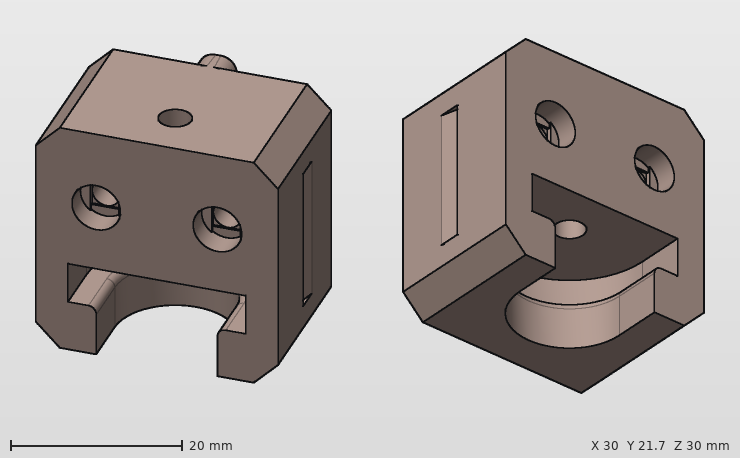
import cadquery as cq
import math

block_width = 30.0
block_height = 30.0
block_depth = 18.9
corner_chamfer = 3.0
bottom_z = -block_height / 2
top_z = block_height / 2

slot_axis_y = 6.5
head_width = 22.0
head_floor_z = -8.52
head_height = 5.2
neck_width = 15.0
neck_fillet = 1.0
guide_hole_diameter = 4.0

screw_spacing = 15.0
screw_z = 5.0
screw_diameter = 3.5
counterbore_diameter = 6.0
counterbore_depth = 3.0
step_depth = 0.3

recess_height = 18.0
recess_slope = 15.0
recess_front_y = 8.9
recess_length = 3.0
recess_depth = recess_length * math.tan(math.radians(recess_slope))

key_length = 2.8
key_width = 4.95
key_height = 20.0
key_draw_in = 0.15
key_corner_radius = 2.0


def make_block():
    block = cq.Workplane("XY").box(block_width, block_depth, block_height, centered=(True, False, True))
    return block.edges("|Y").chamfer(corner_chamfer)


def round_ended_channel(width, floor_z, height):
    """Channel along Y that starts at the front face and ends in a half circle."""
    plan = cq.Workplane("XY", origin=(0, 0, floor_z))
    straight = plan.rect(width, 2 * slot_axis_y).extrude(height)
    round_end = plan.center(0, slot_axis_y).circle(width / 2).extrude(height)
    return straight.union(round_end)


def cut_t_slot(body):
    neck = round_ended_channel(neck_width, bottom_z, head_floor_z - bottom_z)
    head = round_ended_channel(head_width, head_floor_z, head_height)
    margin = 0.3
    lip = cq.selectors.BoxSelector(
        (-neck_width / 2 - margin, -margin, head_floor_z - margin),
        (neck_width / 2 + margin, slot_axis_y + neck_width / 2 + margin, head_floor_z + margin),
        boundingbox=True,
    )
    body = body.cut(neck).cut(head)
    return body.edges(lip).fillet(neck_fillet)


def cut_guide_hole(body):
    hole = cq.Workplane("XY", origin=(0, slot_axis_y, head_floor_z)).circle(guide_hole_diameter / 2)
    return body.cut(hole.extrude(top_z - head_floor_z))


def screw_hole(x):
    """Counterbore, then a flat-sided step and a square step, then the plain hole."""
    front = cq.Workplane("XZ", origin=(x, 0, screw_z))
    plain = front.circle(screw_diameter / 2).extrude(-block_depth)
    counterbore = front.circle(counterbore_diameter / 2).extrude(-counterbore_depth)
    first_end = counterbore_depth + step_depth
    flat_sided = (
        front.circle(counterbore_diameter / 2).extrude(-first_end)
        .intersect(front.rect(screw_diameter, counterbore_diameter).extrude(-first_end))
    )
    square = front.rect(screw_diameter, screw_diameter).extrude(-(first_end + step_depth))
    return plain.union(counterbore).union(flat_sided).union(square)


def left_side_recess():
    side_x = -block_width / 2
    return (
        cq.Workplane("XY", origin=(0, 0, -recess_height / 2))
        .polyline([
            (side_x, recess_front_y),
            (side_x + recess_depth, recess_front_y),
            (side_x, recess_front_y + recess_length),
        ])
        .close()
        .extrude(recess_height)
    )


def make_key():
    """Key whose sides and bottom draw in towards the tip while its top stays level."""
    tip_width = key_width - 2 * key_draw_in
    tip_height = key_height - key_draw_in
    return (
        cq.Workplane("XZ", origin=(0, block_depth, top_z))
        .center(0, -key_height / 2)
        .rect(key_width, key_height)
        .workplane(offset=-key_length)
        .center(0, key_draw_in / 2)
        .rect(tip_width, tip_height)
        .loft(ruled=True)
        .edges("not(|X or |Z)")
        .fillet(key_corner_radius)
    )


result = cut_guide_hole(cut_t_slot(make_block()))
for screw_x in (-screw_spacing / 2, screw_spacing / 2):
    result = result.cut(screw_hole(screw_x))
recess = left_side_recess()
result = result.cut(recess).cut(recess.mirror("YZ"))
result = result.union(make_key())